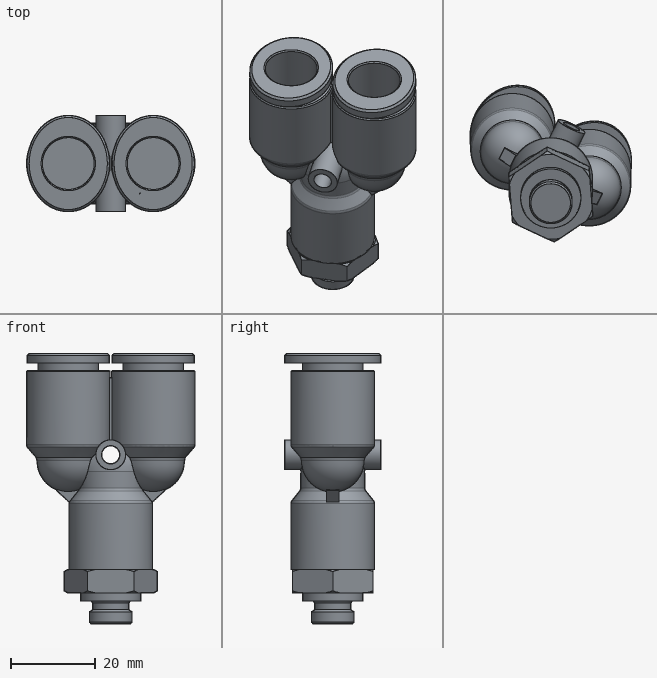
import cadquery as cq
import math

total_height = 63.7
tip_chamfer = 0.4
thread_top = 2.8
groove_bottom = 3.3
groove_top = 4.85
flange_bottom = 5.35
hex_bottom = 7.3
hex_top = 12.75
stem_shoulder = 28.7
neck_bottom = 31.6
neck_top = 35.9
ball_level = 38.4
cone_bottom = 39.2
sleeve_bottom = 41.8
sleeve_top = 59.7
collar_bottom = 61.4
pin_level = 39.8

thread_radius = 5.05
groove_radius = 4.3
groove_flare = 0.25
flange_radius = 7.1
hex_across_flats = 19.0
hex_chamfer_angle = 30.0
hex_chamfer_start_radius = 10.2
neck_radius = 7.55
shoulder_fillet = 1.0

port_spacing = 20.0
port_x = port_spacing / 2
sleeve_radius = 9.85
sleeve_edge = 0.3
ball_radius = 7.4
cone_end_radius = 7.6

collar_length_x = 19.4
collar_length_y = 22.7
collar_chamfer = 0.5
collar_neck_radius = 7.15
bore_radius = 6.1
bore_chamfer = 0.3
bore_bottom = ball_level

pin_radius = 3.5
pin_hole_radius = 2.1
pin_length = collar_length_y
rib_width = 3.0
rib_outer_x = 12.8
rib_outer_level = 31.4
web_thickness = rib_width
web_top = 58.0


def revolve_about_z(profile):
    """Revolve a closed (radius, height) outline about the Z axis."""
    outline = cq.Workplane("XZ").polyline(profile).close()
    return outline.revolve(360, (0, 0, 0), (0, 1, 0))


def cylinder(radius, bottom, top):
    return cq.Workplane("XY").workplane(offset=bottom).circle(radius).extrude(top - bottom)


def round_edge(solid, radius, level):
    """Fillet the circular edge of the given radius and height about the Z axis."""
    margin = 0.1
    reach = radius + margin
    low_corner = (-reach, -reach, level - margin)
    high_corner = (reach, reach, level + margin)
    edge = cq.selectors.BoxSelector(low_corner, high_corner, boundingbox=True)
    return solid.edges(edge).fillet(shoulder_fillet)


def make_threaded_end():
    return revolve_about_z([
        (0, 0),
        (thread_radius - tip_chamfer, 0),
        (thread_radius, tip_chamfer),
        (thread_radius, thread_top),
        (groove_radius, groove_bottom),
        (groove_radius, groove_top),
        (groove_radius + groove_flare, flange_bottom),
        (flange_radius, flange_bottom),
        (flange_radius, hex_bottom),
        (0, hex_bottom),
    ])


def make_hex():
    """Hexagon with its corners on the X axis, both ends turned to a chamfer."""
    corner_radius = hex_across_flats / math.sqrt(3)
    height = hex_top - hex_bottom
    prism = cq.Workplane("XY").workplane(offset=hex_bottom).polygon(6, 2 * corner_radius).extrude(height)
    drop = (corner_radius - hex_chamfer_start_radius) * math.tan(math.radians(hex_chamfer_angle))
    turned = revolve_about_z([
        (0, hex_bottom),
        (hex_chamfer_start_radius, hex_bottom),
        (corner_radius, hex_bottom + drop),
        (corner_radius, hex_top - drop),
        (hex_chamfer_start_radius, hex_top),
        (0, hex_top),
    ])
    return prism.intersect(turned)


def make_stem():
    """Lower body: straight barrel, conical shoulder, neck and domed top."""
    barrel = revolve_about_z([
        (0, hex_top),
        (sleeve_radius, hex_top),
        (sleeve_radius, stem_shoulder),
        (neck_radius, neck_bottom),
        (neck_radius, neck_top),
        (0, neck_top),
    ])
    for radius, level in ((sleeve_radius, stem_shoulder), (neck_radius, neck_bottom)):
        barrel = round_edge(barrel, radius, level)
    dome = cq.Workplane("XY").sphere(neck_radius).translate((0, 0, neck_top))
    return barrel.union(dome)


def make_socket():
    """Tube socket on the Z axis: ball end, cone and sleeve."""
    sleeve = revolve_about_z([
        (0, ball_level),
        (ball_radius, ball_level),
        (cone_end_radius, cone_bottom),
        (sleeve_radius, sleeve_bottom),
        (sleeve_radius, sleeve_top - sleeve_edge),
        (sleeve_radius - sleeve_edge, sleeve_top),
        (0, sleeve_top),
    ])
    sleeve = round_edge(sleeve, sleeve_radius, sleeve_bottom)
    ball = cq.Workplane("XY").sphere(ball_radius).translate((0, 0, ball_level))
    return sleeve.union(ball)


def make_collar():
    """Oval release collar on its round neck."""
    neck = cylinder(collar_neck_radius, sleeve_top, collar_bottom)
    plate = (
        cq.Workplane("XY")
        .workplane(offset=collar_bottom)
        .ellipse(collar_length_x / 2, collar_length_y / 2)
        .extrude(total_height - collar_bottom)
        .faces(">Z")
        .edges()
        .chamfer(collar_chamfer)
    )
    return neck.union(plate)


def make_bore():
    return revolve_about_z([
        (0, bore_bottom),
        (bore_radius, bore_bottom),
        (bore_radius, total_height - bore_chamfer),
        (bore_radius + bore_chamfer, total_height),
        (0, total_height),
    ])


def make_ribs():
    """Sloping ribs that tie the underside of each ball to the barrel."""
    return (
        cq.Workplane("XZ")
        .moveTo(-sleeve_radius, stem_shoulder)
        .lineTo(sleeve_radius, stem_shoulder)
        .lineTo(rib_outer_x, rib_outer_level)
        .lineTo(port_x, ball_level)
        .lineTo(-port_x, ball_level)
        .lineTo(-rib_outer_x, rib_outer_level)
        .close()
        .extrude(rib_width / 2, both=True)
    )


def make_web():
    """Wall that closes the gap between the two sleeves."""
    height = web_top - ball_level
    wall = cq.Workplane("XY").box(port_spacing - 2 * bore_radius, web_thickness, height)
    return wall.translate((0, 0, ball_level + height / 2))


def make_cross_cylinder(radius):
    disc = cq.Workplane("XZ").center(0, pin_level).circle(radius)
    return disc.extrude(pin_length / 2, both=True)


body = make_stem().union(make_hex()).union(make_threaded_end())
body = body.union(make_ribs()).union(make_web()).union(make_cross_cylinder(pin_radius))
for side in (-1, 1):
    place = (side * port_x, 0, 0)
    body = body.union(make_socket().translate(place)).union(make_collar().translate(place))
for side in (-1, 1):
    body = body.cut(make_bore().translate((side * port_x, 0, 0)))

result = body.cut(make_cross_cylinder(pin_hole_radius))